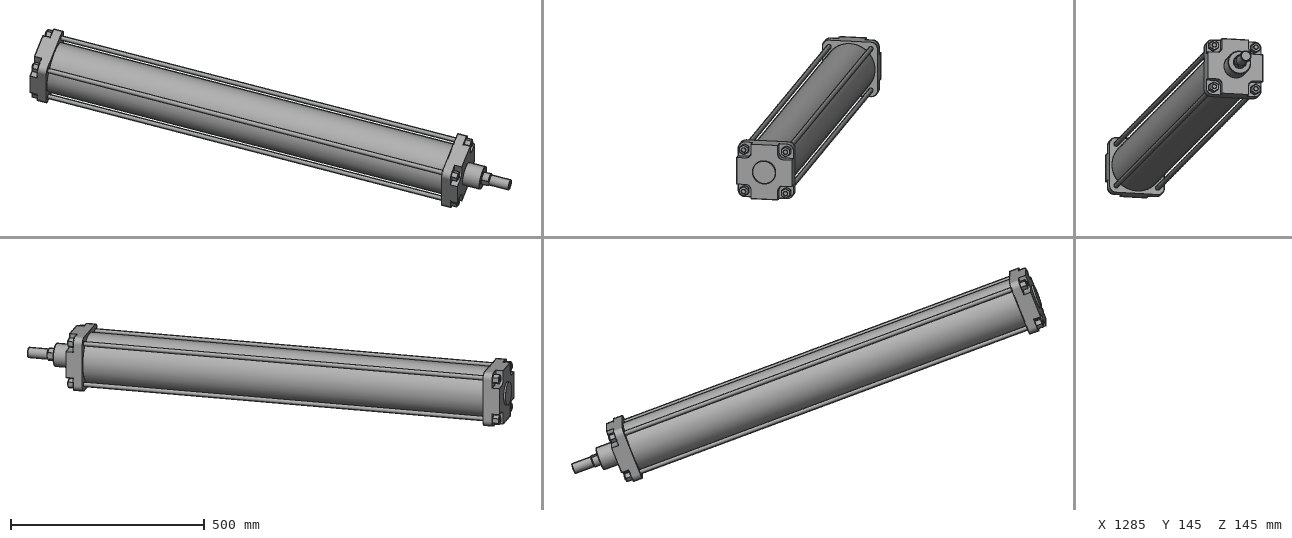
import cadquery as cq
import math

TOTAL_LENGTH = 1285.0
REAR_BOSS_LENGTH = 5.0
COVER_THICKNESS = 44.0
BARREL_LENGTH = 1073.0
FRONT_BOSS_LENGTH = 46.0
REAR_COVER_X = REAR_BOSS_LENGTH
BARREL_X = REAR_COVER_X + COVER_THICKNESS
FRONT_COVER_X = BARREL_X + BARREL_LENGTH
FRONT_FACE_X = FRONT_COVER_X + COVER_THICKNESS
FRONT_BOSS_END_X = FRONT_FACE_X + FRONT_BOSS_LENGTH

COVER_SIDE = 145.0
COVER_CORNER_RADIUS = 17.0
BOSS_DIAMETER = 60.0
FRONT_BOSS_CHAMFER = 1.0
POCKET_SIDE = 37.0
POCKET_DEPTH = 19.0
POCKET_RADIUS = 14.0

BARREL_DIAMETER = 132.0

TIE_ROD_DIAMETER = 12.0
TIE_ROD_OFFSET = 55.0
NUT_ACROSS_FLATS = 22.0
NUT_ACROSS_CORNERS = NUT_ACROSS_FLATS / math.cos(math.pi / 6)
NUT_HEIGHT = 15.0
TIE_ROD_TAIL = 3.0

ROD_DIAMETER = 32.0
ROD_FLATS_WIDTH = 27.0
ROD_SHOULDER_LENGTH = 20.0
ROD_SHOULDER_CHAMFER = 3.0
THREAD_DIAMETER = 27.0
THREAD_CHAMFER = 1.0
SHOULDER_END_X = FRONT_BOSS_END_X + ROD_SHOULDER_LENGTH

CORNER_SIGNS = [(y, z) for y in (-1, 1) for z in (-1, 1)]


def rod_along_x(diameter, start_x, end_x, y=0, z=0):
    """Round bar parallel to X between two stations."""
    return cq.Workplane("YZ", origin=(start_x, y, z)).circle(diameter / 2).extrude(end_x - start_x)


def cut_corner_pockets(cover, pocket_x):
    """Recess the four corners of a cover where the tie rod nuts sit."""
    edge = COVER_SIDE / 2
    cutter_side = 2 * POCKET_SIDE
    center = edge - POCKET_SIDE + cutter_side / 2
    for y_sign, z_sign in CORNER_SIGNS:
        cutter = (
            cq.Workplane("YZ", origin=(pocket_x, y_sign * center, z_sign * center))
            .rect(cutter_side, cutter_side)
            .extrude(POCKET_DEPTH)
            .edges("|X")
            .fillet(POCKET_RADIUS)
        )
        cover = cover.cut(cutter)
    return cover


def cut_tie_rod_holes(cover, start_x):
    """Drill the four through holes that the tie rods fill."""
    for y_sign, z_sign in CORNER_SIGNS:
        hole = rod_along_x(
            TIE_ROD_DIAMETER,
            start_x,
            start_x + COVER_THICKNESS,
            y_sign * TIE_ROD_OFFSET,
            z_sign * TIE_ROD_OFFSET,
        )
        cover = cover.cut(hole)
    return cover


def make_cover(start_x, pocket_x):
    """Square cover block with rounded edges, corner pockets and tie rod holes."""
    block = (
        cq.Workplane("YZ", origin=(start_x, 0, 0))
        .rect(COVER_SIDE, COVER_SIDE)
        .extrude(COVER_THICKNESS)
        .edges("|X")
        .fillet(COVER_CORNER_RADIUS)
    )
    return cut_tie_rod_holes(cut_corner_pockets(block, pocket_x), start_x)


def make_rear_cover():
    """Rear cover with a shallow round centring boss."""
    boss = rod_along_x(BOSS_DIAMETER, 0, REAR_COVER_X)
    return make_cover(REAR_COVER_X, REAR_COVER_X).union(boss)


def make_front_cover():
    """Front cover with a long boss, bored through for the piston rod."""
    boss = rod_along_x(BOSS_DIAMETER, FRONT_FACE_X, FRONT_BOSS_END_X)
    boss = boss.faces(">X").chamfer(FRONT_BOSS_CHAMFER)
    bore = rod_along_x(ROD_DIAMETER, FRONT_COVER_X, FRONT_BOSS_END_X)
    return make_cover(FRONT_COVER_X, FRONT_FACE_X - POCKET_DEPTH).union(boss).cut(bore)


def make_barrel():
    """Plain round barrel clamped between the covers."""
    return rod_along_x(BARREL_DIAMETER, BARREL_X, FRONT_COVER_X)


def make_tie_rod(y, z):
    """Tie rod with a hexagon nut on each pocket floor, the rod end standing a little proud."""
    rear_floor_x = REAR_COVER_X + POCKET_DEPTH
    front_floor_x = FRONT_FACE_X - POCKET_DEPTH
    overhang = NUT_HEIGHT + TIE_ROD_TAIL
    rod = rod_along_x(TIE_ROD_DIAMETER, rear_floor_x - overhang, front_floor_x + overhang, y, z)
    for nut_x in (rear_floor_x - NUT_HEIGHT, front_floor_x):
        nut_plane = cq.Plane(origin=(nut_x, y, z), xDir=(0, 0, 1), normal=(1, 0, 0))
        nut = cq.Workplane(nut_plane).polygon(6, NUT_ACROSS_CORNERS).extrude(NUT_HEIGHT)
        rod = rod.union(nut)
    return rod


def make_piston_rod():
    """Piston rod with two wrench flats and a thinner threaded end, left as a plain bar."""
    shank = rod_along_x(ROD_DIAMETER, FRONT_COVER_X, SHOULDER_END_X)
    shank = shank.faces(">X").chamfer(ROD_SHOULDER_CHAMFER)
    flats_center = cq.Workplane("XY", origin=((FRONT_BOSS_END_X + SHOULDER_END_X) / 2, 0, 0))
    around_flats = flats_center.box(ROD_SHOULDER_LENGTH, 2 * ROD_DIAMETER, 2 * ROD_DIAMETER)
    between_flats = flats_center.box(ROD_SHOULDER_LENGTH, ROD_FLATS_WIDTH, 2 * ROD_DIAMETER)
    shank = shank.cut(around_flats.cut(between_flats))
    thread = rod_along_x(THREAD_DIAMETER, SHOULDER_END_X, TOTAL_LENGTH)
    thread = thread.faces(">X").chamfer(THREAD_CHAMFER)
    return shank.union(thread)


rear_cover = make_rear_cover()
front_cover = make_front_cover()
barrel = make_barrel()
piston_rod = make_piston_rod()
tie_rods = [make_tie_rod(y * TIE_ROD_OFFSET, z * TIE_ROD_OFFSET) for y, z in CORNER_SIGNS]

result = cq.Compound.makeCompound(
    [
        rear_cover.val(),
        front_cover.val(),
        barrel.val(),
        piston_rod.val(),
        *[tie_rod.val() for tie_rod in tie_rods],
    ]
)